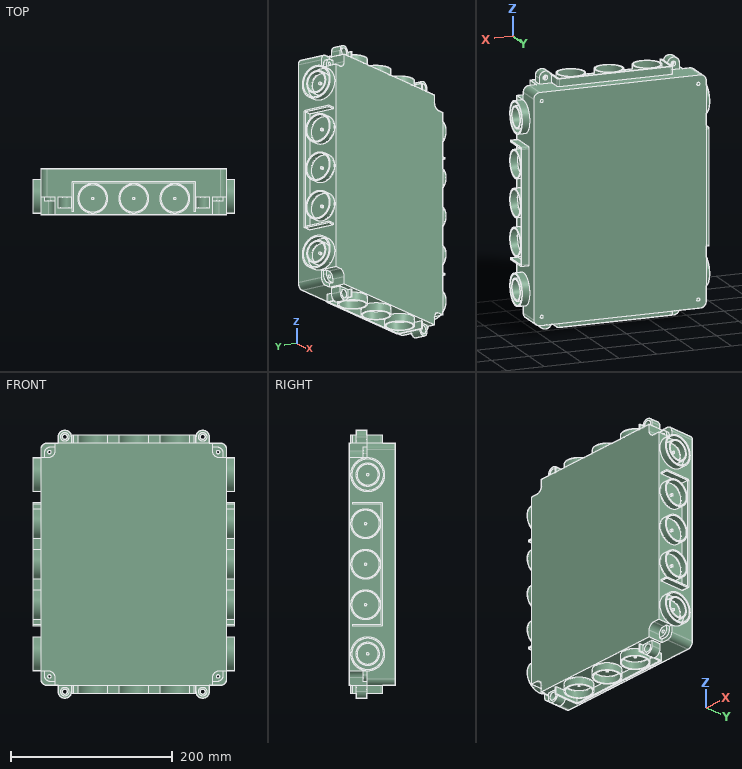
import cadquery as cq


overall_width = 250.0
overall_height = 332.0
depth = 57.0

collar_height = 10.0
ear_reach = 16.0
body_width = overall_width - 2 * collar_height
body_height = overall_height - 2 * ear_reach
corner_radius = 8.0
front_y = -depth / 2

collar_outer_diameter = 37.0
collar_inner_diameter = 34.0
collar_inset = 20.3
end_collar_pitch = 50.8
side_collar_pitch = 50.0
pin_diameter = 3.0
pin_height = 2.5

large_collar_outer_diameter = 42.0
large_collar_inner_diameter = 39.0
core_collar_outer_diameter = 29.0
core_collar_inner_diameter = 26.0
large_collar_inset = 23.0
large_collar_offset = 111.0

guard_length = 153.5
guard_thickness = 2.0
guard_front_inset = 4.0
guard_back_inset = 41.5
guard_corner_radius = 2.3

ear_radius = 8.3
ear_offset = 85.3
ear_front_inset = 8.5
ear_back_inset = 22.0
ear_hole_diameter = 6.0
ear_counterbore_diameter = 10.5
ear_counterbore_depth = 8.3

pocket_width = 17.5
pocket_height = 18.0
pocket_depth = ear_back_inset
pocket_radius = 8.3
pad_height = 4.5
pad_ledge_x = 4.3
pad_ledge_z = 5.0
pad_radius = 8.0
screw_hole_diameter = 4.0
screw_inset_x = 10.5
screw_inset_z = 11.3

overlap = 1.5


def wall_plane(x_sign, z_sign):
    """Plane on an outer wall, facing outwards, with local y towards the back.

    One sign is zero; the other picks the wall. The origin is midway along its front edge.
    """
    origin = (x_sign * body_width / 2, front_y, z_sign * body_height / 2)
    return cq.Plane(origin=origin, xDir=(z_sign, 0, -x_sign), normal=(x_sign, 0, z_sign))


def raise_from(plane, height, draw):
    """Extrude a profile outwards from a wall, starting slightly inside the body."""
    return draw(cq.Workplane(plane).workplane(offset=-overlap)).extrude(height + overlap)


def ring(plane, centre, outer_diameter, inner_diameter):
    return raise_from(
        plane,
        collar_height,
        lambda wp: wp.center(*centre).circle(outer_diameter / 2).circle(inner_diameter / 2),
    )


def pin(plane, centre):
    return raise_from(plane, pin_height, lambda wp: wp.center(*centre).circle(pin_diameter / 2))


def guard(plane):
    """U-shaped wall, open towards the front, with rounded outer back corners."""
    arm_length = guard_back_inset - guard_front_inset
    outer = raise_from(
        plane,
        collar_height,
        lambda wp: wp.center(0, guard_front_inset + arm_length / 2).rect(guard_length, arm_length),
    )
    outer = outer.faces(">Y").edges(cq.selectors.ParallelDirSelector(plane.zDir)).fillet(guard_corner_radius)
    inner_length = guard_length - 2 * guard_thickness
    inner_back = guard_back_inset - guard_thickness
    opening = raise_from(
        plane,
        collar_height,
        lambda wp: wp.center(0, inner_back / 2).rect(inner_length, inner_back),
    )
    return outer.cut(opening)


def collar_row(plane, pitch):
    """Three collars with pins inside one guard wall."""
    row = guard(plane)
    for step in (-1, 0, 1):
        centre = (step * pitch, collar_inset)
        row = row.union(ring(plane, centre, collar_outer_diameter, collar_inner_diameter))
        row = row.union(pin(plane, centre))
    return row


def large_collar(plane, offset):
    centre = (offset, large_collar_inset)
    outer = ring(plane, centre, large_collar_outer_diameter, large_collar_inner_diameter)
    core = ring(plane, centre, core_collar_outer_diameter, core_collar_inner_diameter)
    return outer.union(core).union(pin(plane, centre))


def front_plane(inset):
    """Plane parallel to the front face and set back from it; local x is X and local y is Z."""
    return cq.Plane(origin=(0, front_y + inset, 0), xDir=(1, 0, 0), normal=(0, -1, 0))


def ear(x_sign, z_sign):
    """Round-ended lug with a counterbored hole, standing on a short side."""
    centre_x = x_sign * ear_offset
    centre_z = z_sign * (overall_height / 2 - ear_radius)
    root_z = z_sign * (body_height / 2 - overlap)
    lug = (
        cq.Workplane(front_plane(ear_back_inset))
        .moveTo(centre_x - ear_radius, root_z)
        .lineTo(centre_x - ear_radius, centre_z)
        .threePointArc((centre_x, z_sign * overall_height / 2), (centre_x + ear_radius, centre_z))
        .lineTo(centre_x + ear_radius, root_z)
        .close()
        .extrude(ear_back_inset - ear_front_inset)
    )
    return (
        lug.faces("<Y")
        .workplane(origin=(centre_x, 0, centre_z))
        .cboreHole(ear_hole_diameter, ear_counterbore_diameter, ear_counterbore_depth)
    )


def corner_block(inset_x, inset_z, width, height, front, back, x_sign, z_sign):
    """Block in one corner, set in from the two outer walls by the given insets."""
    centre_x = x_sign * (body_width / 2 - inset_x - width / 2)
    centre_z = z_sign * (body_height / 2 - inset_z - height / 2)
    return (
        cq.Workplane(front_plane(back))
        .center(centre_x, centre_z)
        .rect(width, height)
        .extrude(back - front)
    )


def corner_edge(x_sign, z_sign):
    """Selector for the edges of a block lying furthest in the given diagonal direction."""
    return f"{'>' if x_sign > 0 else '<'}X and {'>' if z_sign > 0 else '<'}Z"


def screw_pocket(x_sign, z_sign):
    """Volume removed from a front corner, leaving a raised screw pad on its floor."""
    pocket = corner_block(0, 0, pocket_width, pocket_height, 0, pocket_depth, x_sign, z_sign)
    inner_edge = corner_edge(-x_sign, -z_sign)
    pocket = pocket.edges("|Y").edges(inner_edge).fillet(pocket_radius)
    pad = corner_block(
        pad_ledge_x,
        pad_ledge_z,
        pocket_width - pad_ledge_x,
        pocket_height - pad_ledge_z,
        pocket_depth - pad_height,
        pocket_depth,
        x_sign,
        z_sign,
    )
    outer_edge = corner_edge(x_sign, z_sign)
    pad = pad.edges("|Y").edges(outer_edge).fillet(pad_radius)
    return pocket.cut(pad)


def screw_hole(x_sign, z_sign):
    centre_x = x_sign * (body_width / 2 - screw_inset_x)
    centre_z = z_sign * (body_height / 2 - screw_inset_z)
    return (
        cq.Workplane(front_plane(depth))
        .center(centre_x, centre_z)
        .circle(screw_hole_diameter / 2)
        .extrude(depth)
    )


result = cq.Workplane("XY").box(body_width, depth, body_height).edges("|Y").fillet(corner_radius)

for x_sign in (-1, 1):
    for z_sign in (-1, 1):
        result = result.union(ear(x_sign, z_sign))
        result = result.cut(screw_pocket(x_sign, z_sign))
        result = result.cut(screw_hole(x_sign, z_sign))

for sign in (-1, 1):
    end_plane = wall_plane(0, sign)
    side_plane = wall_plane(sign, 0)
    result = result.union(collar_row(end_plane, end_collar_pitch))
    result = result.union(collar_row(side_plane, side_collar_pitch))
    for offset in (-large_collar_offset, large_collar_offset):
        result = result.union(large_collar(side_plane, offset))